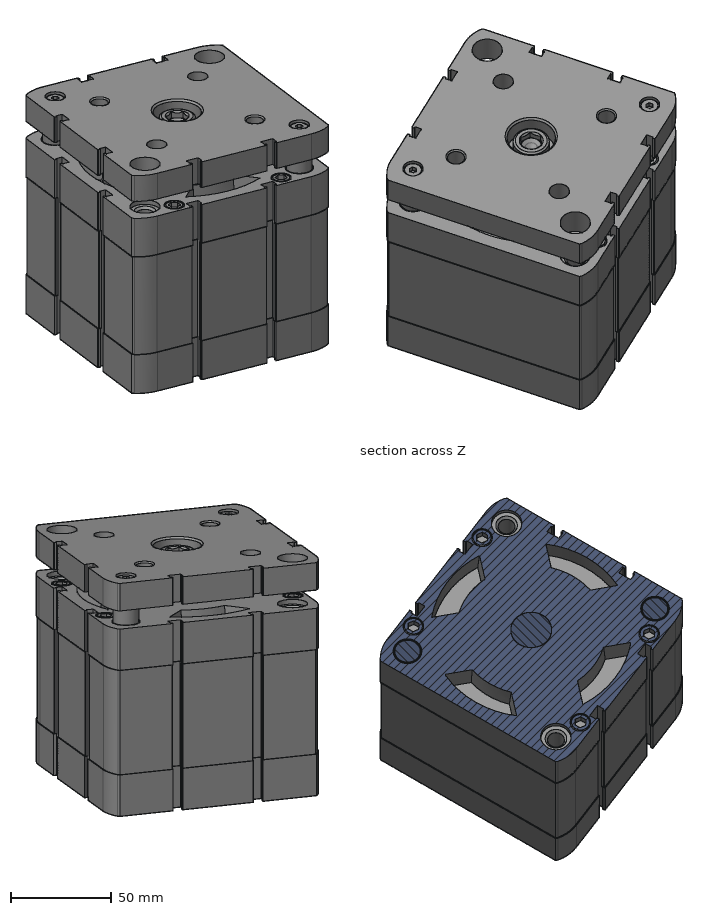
import cadquery as cq
import math


WIDTH = 113.5
HALF = WIDTH / 2
HEIGHT = 120.8
PLATE_THICKNESS = 14.3
STROKE_GAP = 9.4
PLATE_BOTTOM = HEIGHT - PLATE_THICKNESS
HOUSING_TOP = PLATE_BOTTOM - STROKE_GAP
CAP_HEIGHT = 21.5
TUBE_INSET = 0.5

CORNER_ARC_START = 44.5
CORNER_ARC_END = (53.4, 55.8)
CORNER_BEVEL_END = 52.4

SLOT_OFFSET = 21.5
SLOT_DEPTH = 5.0
SLOT_THROAT = 5.0
SLOT_INNER = 6.8
SLOT_LIP = 1.5
SLOT_CHAMFER = 0.4
SLOT_CLEARANCE = 1.2

CORNER_POS = 44.5
ROD_CORNERS = [(-CORNER_POS, -CORNER_POS), (CORNER_POS, CORNER_POS)]
MOUNT_CORNERS = [(-CORNER_POS, CORNER_POS), (CORNER_POS, -CORNER_POS)]

GUIDE_ROD_D = 12.9
GUIDE_RECESS_D = 14.0
GUIDE_RECESS_DEPTH = 0.5
PISTON_ROD_D = 20.0
FLAT_WIDTH = 17.0
FLAT_BOTTOM = HOUSING_TOP + 2.4
SHOULDER_DROP = 0.8
ROD_BOTTOM = HOUSING_TOP - CAP_HEIGHT

PILOT_D = 24.0
PILOT_DEPTH = 10.3
PILOT_CHAMFER = 1.0
SCREW_HEAD_D = 18.0
SCREW_HEAD_HEIGHT = 7.2
SCREW_RIM_D = 15.8
SCREW_RIM_HEIGHT = 0.7
SCREW_SOCKET_D = 12.0
SCREW_SOCKET_CHAMFER = 1.0
SCREW_HEX = 10.0
SCREW_HEX_DEPTH = 3.6
SCREW_DRILL_DEPTH = 1.2
SCREW_DRILL_D = 6.0
DRILL_TIP_ANGLE = 118.0

ATTACH_POS = 28.3
ATTACH_HOLE_D = 10.0
THREAD_CORE_D = 8.6
THREAD_CHAMFER = (ATTACH_HOLE_D - THREAD_CORE_D) / 2
PLATE_ACCESS_D = 15.0
ROD_SCREW_HEAD_D = 10.0
ROD_SCREW_CHAMFER = 0.8
ROD_SCREW_SINK = 1.0
ROD_SCREW_HEX = 3.4
ROD_SCREW_HEX_DEPTH = 2.4

POCKET_D = 100.0
POCKET_DEPTH = 10.9
POCKET_DRAFT = 5.0
BOSS_D = 74.9
RIB_WIDTH = 33.8
MOUNT_RECESS_D = 15.0
MOUNT_RECESS_DEPTH = 2.4
MOUNT_THREAD_D = 10.8
MOUNT_HOLE_D = 8.3
CAP_SCREW_POS = (50.0, 30.8)
CAP_SCREW_BORE_D = 10.0
CAP_SCREW_HEAD_D = 8.5
CAP_SCREW_HEX = 5.2
CAP_SCREW_HEX_DEPTH = 3.6


def cylinder(diameter, bottom, top, points=((0, 0),)):
    return (cq.Workplane("XY").workplane(offset=bottom).pushPoints(list(points))
            .circle(diameter / 2).extrude(top - bottom))


def hexagon(across_flats, bottom, top, points=((0, 0),)):
    return (cq.Workplane("XY").workplane(offset=bottom).pushPoints(list(points))
            .polygon(6, across_flats / math.cos(math.pi / 6)).extrude(top - bottom))


def cone(bottom_d, top_d, bottom, top, points=((0, 0),)):
    solid = cq.Solid.makeCone(bottom_d / 2, top_d / 2, top - bottom)
    return cq.Workplane("XY").pushPoints(list(points)).eachpoint(
        lambda place: solid.moved(cq.Location(cq.Vector(0, 0, bottom))).moved(place), combine=False)


def block(bottom, top, inset=0.0):
    """Body section: flat sides joined at each corner by a long arc and a short bevel."""
    arc_dx = HALF - CORNER_ARC_END[0]
    arc_dy = CORNER_ARC_END[1] - CORNER_ARC_START
    arc_radius = (arc_dx ** 2 + arc_dy ** 2) / (2 * arc_dx)
    half_sweep = math.asin(arc_dy / arc_radius) / 2
    arc_middle = (HALF - arc_radius * (1 - math.cos(half_sweep)),
                  CORNER_ARC_START + arc_radius * math.sin(half_sweep))
    outline = cq.Workplane("XY").moveTo(HALF, -CORNER_ARC_START)
    start = (HALF, CORNER_ARC_START)
    bevel_end = (CORNER_BEVEL_END, HALF)

    def at(point, sx, sy):
        return (sx * point[0], sy * point[1])

    for sx, sy in [(1, 1), (-1, -1)]:
        outline = (outline
                   .lineTo(*at(start, sx, sy))
                   .threePointArc(at(arc_middle, sx, sy), at(CORNER_ARC_END, sx, sy))
                   .lineTo(*at(bevel_end, sx, sy))
                   .lineTo(*at(bevel_end, -sx, sy))
                   .lineTo(*at(CORNER_ARC_END, -sx, sy))
                   .threePointArc(at(arc_middle, -sx, sy), at(start, -sx, sy)))
    outline = outline.close()
    if inset:
        outline = outline.offset2D(-inset)
    return outline.extrude(top - bottom).translate((0, 0, bottom))


def slots(bottom, top, inset=0.0, outer_chamfer=SLOT_CHAMFER):
    """T-slot cutters for the -X, +X and -Y sides, two on each side."""
    face = HALF - inset
    clear = HALF + SLOT_CLEARANCE
    floor = face - SLOT_DEPTH
    lip = face - SLOT_LIP
    throat = SLOT_THROAT / 2
    inner = SLOT_INNER / 2
    profile = [
        (floor, -inner), (lip, -inner), (lip, -throat), (face - SLOT_CHAMFER, -throat),
        (face, -throat - SLOT_CHAMFER), (clear, -throat - SLOT_CHAMFER),
        (clear, throat + outer_chamfer), (face, throat + outer_chamfer),
        (face - SLOT_CHAMFER, throat), (lip, throat), (lip, inner), (floor, inner),
    ]
    slot = (cq.Workplane("XY").polyline(profile).close().extrude(top - bottom)
            .translate((0, SLOT_OFFSET, bottom)))
    pair = slot.union(slot.mirror("XZ"))
    cutters = pair
    for turn in (-90, 180):
        cutters = cutters.union(pair.rotate((0, 0, 0), (0, 0, 1), turn))
    return cutters


def bearing_pocket():
    """Cutter for the round pocket, less the drafted boss and the diagonal ribs that stay in it."""
    floor = HOUSING_TOP - POCKET_DEPTH
    spread = POCKET_DEPTH * math.tan(math.radians(POCKET_DRAFT))
    pocket = cylinder(POCKET_D, floor, HOUSING_TOP)
    pocket = pocket.cut(cone(BOSS_D + 2 * spread, BOSS_D, floor, HOUSING_TOP))
    rib = (cq.Workplane("XY").workplane(offset=floor)
           .rect(2 * POCKET_D, RIB_WIDTH + 2 * spread).extrude(POCKET_DEPTH, taper=POCKET_DRAFT))
    for angle in (45, -45):
        pocket = pocket.cut(rib.rotate((0, 0, 0), (0, 0, 1), angle))
    return pocket


def make_housing():
    tube_bottom = CAP_HEIGHT
    tube_top = HOUSING_TOP - CAP_HEIGHT
    body = block(0, tube_bottom).cut(slots(0, tube_bottom, outer_chamfer=0))
    body = body.union(block(tube_bottom, tube_top, TUBE_INSET)
                      .cut(slots(tube_bottom, tube_top, TUBE_INSET)))
    body = body.union(block(tube_top, HOUSING_TOP).cut(slots(tube_top, HOUSING_TOP, outer_chamfer=0)))

    body = body.cut(bearing_pocket())
    body = body.cut(cylinder(PISTON_ROD_D, ROD_BOTTOM, HOUSING_TOP))
    body = body.cut(cylinder(GUIDE_ROD_D, ROD_BOTTOM, HOUSING_TOP, ROD_CORNERS))
    body = body.cut(cylinder(GUIDE_RECESS_D, HOUSING_TOP - GUIDE_RECESS_DEPTH, HOUSING_TOP, ROD_CORNERS))

    recess_floor = HOUSING_TOP - MOUNT_RECESS_DEPTH
    chamfer = (MOUNT_THREAD_D - MOUNT_HOLE_D) / 2
    body = body.cut(cylinder(MOUNT_RECESS_D, recess_floor, HOUSING_TOP, MOUNT_CORNERS))
    body = body.cut(cylinder(MOUNT_HOLE_D, 0, HOUSING_TOP, MOUNT_CORNERS))
    body = body.cut(cone(MOUNT_HOLE_D, MOUNT_THREAD_D, recess_floor - chamfer, recess_floor, MOUNT_CORNERS))

    x, y = CAP_SCREW_POS
    spots = [(sx * x, sy * y) for sx in (-1, 1) for sy in (-1, 1)]
    depth = (CAP_SCREW_BORE_D - CAP_SCREW_HEAD_D) / 2
    ring = cylinder(CAP_SCREW_BORE_D, HOUSING_TOP - depth, HOUSING_TOP, spots)
    ring = ring.cut(cone(CAP_SCREW_BORE_D, CAP_SCREW_HEAD_D, HOUSING_TOP - depth, HOUSING_TOP, spots))
    body = body.cut(ring)
    return body.cut(hexagon(CAP_SCREW_HEX, HOUSING_TOP - CAP_SCREW_HEX_DEPTH, HOUSING_TOP, spots))


def make_carriage():
    body = block(PLATE_BOTTOM, HEIGHT).cut(slots(PLATE_BOTTOM, HEIGHT))

    threaded = [(-ATTACH_POS, -ATTACH_POS), (ATTACH_POS, ATTACH_POS)]
    plain = [(-ATTACH_POS, ATTACH_POS), (ATTACH_POS, -ATTACH_POS)]
    body = body.cut(cylinder(ATTACH_HOLE_D, PLATE_BOTTOM, HEIGHT, plain))
    body = body.cut(cylinder(THREAD_CORE_D, PLATE_BOTTOM, HEIGHT, threaded))
    body = body.cut(cone(THREAD_CORE_D, ATTACH_HOLE_D, HEIGHT - THREAD_CHAMFER, HEIGHT, threaded))
    body = body.cut(cylinder(PLATE_ACCESS_D, PLATE_BOTTOM, HEIGHT, MOUNT_CORNERS))

    body = body.union(cylinder(GUIDE_ROD_D, ROD_BOTTOM, PLATE_BOTTOM, ROD_CORNERS))
    head_top = HEIGHT - ROD_SCREW_SINK
    head_rim_d = ROD_SCREW_HEAD_D - 2 * ROD_SCREW_CHAMFER
    bore = cylinder(ROD_SCREW_HEAD_D, head_top - ROD_SCREW_CHAMFER, HEIGHT, ROD_CORNERS)
    bore = bore.cut(cone(ROD_SCREW_HEAD_D, head_rim_d, head_top - ROD_SCREW_CHAMFER, head_top, ROD_CORNERS))
    body = body.cut(bore)
    body = body.cut(hexagon(ROD_SCREW_HEX, head_top - ROD_SCREW_HEX_DEPTH, head_top, ROD_CORNERS))

    rod = cylinder(PISTON_ROD_D, ROD_BOTTOM, PLATE_BOTTOM)
    flat_y = FLAT_WIDTH / 2
    rim_y = PISTON_ROD_D / 2
    wrench_cut = (cq.Workplane("YZ")
                  .polyline([(flat_y, FLAT_BOTTOM), (rim_y, FLAT_BOTTOM - SHOULDER_DROP),
                             (rim_y, PLATE_BOTTOM), (flat_y, PLATE_BOTTOM)])
                  .close().extrude(PISTON_ROD_D / 2, both=True))
    body = body.union(rod.cut(wrench_cut).cut(wrench_cut.mirror("XZ")))

    floor = HEIGHT - PILOT_DEPTH
    body = body.cut(cylinder(PILOT_D, floor, HEIGHT))
    body = body.cut(cone(PILOT_D, PILOT_D + 2 * PILOT_CHAMFER, HEIGHT - PILOT_CHAMFER, HEIGHT))
    head_top = floor + SCREW_HEAD_HEIGHT
    rim_bottom = head_top - SCREW_RIM_HEIGHT
    body = body.union(cylinder(SCREW_HEAD_D, floor, rim_bottom))
    body = body.union(cone(SCREW_HEAD_D, SCREW_RIM_D, rim_bottom, head_top))

    socket_floor = head_top - SCREW_HEX_DEPTH
    tip = SCREW_DRILL_D / 2 / math.tan(math.radians(DRILL_TIP_ANGLE / 2))
    body = body.cut(hexagon(SCREW_HEX, socket_floor, head_top))
    body = body.cut(cone(SCREW_HEX, SCREW_SOCKET_D, head_top - SCREW_SOCKET_CHAMFER, head_top))
    drill_top = socket_floor - SCREW_DRILL_DEPTH
    body = body.cut(cone(SCREW_DRILL_D, SCREW_HEX, drill_top, socket_floor))
    return body.cut(cone(0, SCREW_DRILL_D, drill_top - tip, drill_top))


housing = make_housing()
carriage = make_carriage()
result = cq.Compound.makeCompound([housing.val(), carriage.val()])